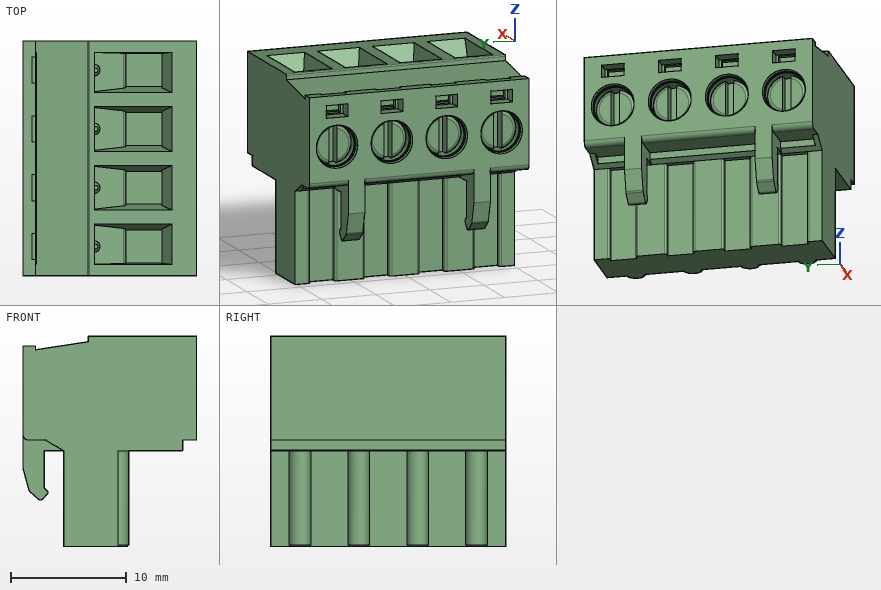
import cadquery as cq

LENGTH = 20.32
DEPTH = 15.0
HEIGHT = 18.2
POLE_COUNT = 4
PITCH = 5.08
POLES = [PITCH * (i - (POLE_COUNT - 1) / 2) for i in range(POLE_COUNT)]

LIP_DEPTH = 1.1
LIP_TOP = 17.35
ROOF_LOW = 17.03
ROOF_HIGH = 17.72
ROOF_END = 5.63
ROOF_EDGE_RADIUS = 0.1
OVERHANG_BOTTOM = 9.2
OVERHANG_RADIUS = 0.5
HOUSING_BOTTOM = 8.3
HAUNCH_START = 1.95
BACK_FOOT = 13.82
BACK_FOOT_CHAMFER = 0.08

PLUG_FRONT = 3.52
PLUG_BACK = 8.2
SOCKET_RADIUS = 0.93
SOCKET_CHAMFER = 0.16
GROOVE_WIDTH = 2.34
GROOVE_DEPTH = 0.55
GROOVE_EDGE_RADIUS = 0.18

HAUNCH_NOTCH_BACK = 2.99
HAUNCH_END_WIDTH = 0.49

HOOK_OFFSET = 5.81
HOOK_WIDTH = 1.52
HOOK_BACK = 1.85
HOOK_BEND_Z = 6.75
HOOK_HEEL = (0.53, 4.82)
HOOK_TIP = (1.52, 3.92)
HOOK_BARB = (2.24, 4.7)
HOOK_CATCH_Z = 5.08
HOOK_TIP_RADIUS = 0.25
HOOK_BARB_RADIUS = 0.15
HOOK_HEEL_RADIUS = 0.3

LIP_NOTCH_WIDTH = 2.25
LIP_NOTCH_DEPTH = 0.33
LIP_SLIT_WIDTH = 0.08
LIP_SLIT_DEPTH = 0.2
LIP_SLIT_HALF_LENGTH = 9.15

WINDOW_WIDTH = 2.01
WINDOW_BOTTOM = 15.4
WINDOW_HEIGHT = 1.12
WINDOW_DEPTH = 1.22
WINDOW_INNER_WIDTH = 1.55
WINDOW_INNER_DEPTH = 1.63
WINDOW_INNER_STEP = 0.1
WINDOW_BEVEL = 0.16

SCREW_Z = 12.8
SCREW_RADIUS = 1.77
SCREW_RECESS = 0.95
SCREW_EDGE_RADIUS = 0.33
SLOT_WIDTH = 0.75
SLOT_DEPTH = 1.02
HOLE_ENTRY_RADIUS = 1.83
HOLE_ENTRY_DEPTH = 0.49
HOLE_RIM_RADIUS = 1.9
HOLE_RIM_DEPTH = 0.25

FUNNEL_FRONT = 6.2
FUNNEL_BACK = 12.86
FUNNEL_HALF_WIDTH = 1.93
FUNNEL_END_LIMIT = 9.16
FUNNEL_DEPTH = 1.46
WELL_FRONT = 8.9
WELL_BACK = 12.03
WELL_HALF_WIDTH = 1.42
WELL_DEPTH = 1.87
RAMP_TOP_DROP = 0.3
RAMP_END = 8.82
RAMP_END_DROP = 1.42
RAMP_EDGE_RADIUS = 0.25
STUD_RADIUS = 0.49
STUD_TOP_RADIUS = 0.2
STUD_RISE = 0.25


def box(x0, x1, y0, y1, z0, z1):
    """Box between opposite corners."""
    return cq.Workplane("XY").box(x1 - x0, y1 - y0, z1 - z0, centered=False).translate((x0, y0, z0))


def extrude_along_y(outline, width, y_center=0.0):
    """Side outline given as (x, z) points, extruded symmetrically about y_center."""
    return cq.Workplane("XZ", origin=(0, y_center, 0)).polyline(outline).close().extrude(width / 2, both=True)


def cylinder_along_x(radius, x0, x1, y):
    """Cylinder on a screw axis."""
    return cq.Workplane("YZ", origin=(x0, y, SCREW_Z)).circle(radius).extrude(x1 - x0)


def housing():
    outline = [
        (0, OVERHANG_BOTTOM), (0, LIP_TOP), (LIP_DEPTH, LIP_TOP), (LIP_DEPTH, ROOF_LOW),
        (ROOF_END, ROOF_HIGH), (ROOF_END, HEIGHT), (DEPTH, HEIGHT), (DEPTH, OVERHANG_BOTTOM),
        (BACK_FOOT, OVERHANG_BOTTOM), (BACK_FOOT, HOUSING_BOTTOM), (PLUG_BACK, HOUSING_BOTTOM),
        (PLUG_BACK, 0), (PLUG_FRONT, 0), (PLUG_FRONT, HOUSING_BOTTOM), (HAUNCH_START, OVERHANG_BOTTOM),
    ]
    body = extrude_along_y(outline, LENGTH)
    body = body.edges(cq.selectors.NearestToPointSelector((0, 0, OVERHANG_BOTTOM))).fillet(OVERHANG_RADIUS)
    body = body.edges(cq.selectors.NearestToPointSelector((ROOF_END, 0, HEIGHT))).fillet(ROOF_EDGE_RADIUS)
    foot_edge = cq.selectors.NearestToPointSelector((BACK_FOOT, 0, HOUSING_BOTTOM))
    return body.edges(foot_edge).chamfer(BACK_FOOT_CHAMFER)


def haunch_notch():
    half = LENGTH / 2 - HAUNCH_END_WIDTH
    return box(0, HAUNCH_NOTCH_BACK, -half, half, HOUSING_BOTTOM, OVERHANG_BOTTOM)


def plug_groove(y):
    """Groove in the plug front whose mouth edges are rounded over."""
    inner = GROOVE_WIDTH / 2
    outer = inner + GROOVE_EDGE_RADIUS
    round_end = PLUG_FRONT + GROOVE_EDGE_RADIUS
    floor = PLUG_FRONT + GROOVE_DEPTH
    sketch = cq.Workplane("XY", origin=(0, y, 0)).moveTo(PLUG_FRONT, -outer)
    sketch = sketch.radiusArc((round_end, -inner), GROOVE_EDGE_RADIUS)
    sketch = sketch.lineTo(floor, -inner).lineTo(floor, inner).lineTo(round_end, inner)
    sketch = sketch.radiusArc((PLUG_FRONT, outer), GROOVE_EDGE_RADIUS)
    return sketch.close().extrude(HOUSING_BOTTOM)


def socket_rib(y):
    """Round rib on the back of the plug."""
    rib = cq.Workplane("XY", origin=(PLUG_BACK, y, 0)).circle(SOCKET_RADIUS).extrude(HOUSING_BOTTOM)
    return rib.faces("<Z").chamfer(SOCKET_CHAMFER)


def hook(y):
    """Latch hook with a web joining it to the plug."""
    root_z = OVERHANG_BOTTOM + OVERHANG_RADIUS
    outline = [
        (0, root_z), (0, HOOK_BEND_Z), HOOK_HEEL, HOOK_TIP, HOOK_BARB, (HOOK_BACK, HOOK_CATCH_Z),
        (HOOK_BACK, HOUSING_BOTTOM), (PLUG_FRONT, HOUSING_BOTTOM), (PLUG_FRONT, root_z),
    ]
    blank = extrude_along_y(outline, HOOK_WIDTH, y)

    heel = cq.selectors.NearestToPointSelector((HOOK_HEEL[0], y, HOOK_HEEL[1]))
    tip = cq.selectors.NearestToPointSelector((HOOK_TIP[0], y, HOOK_TIP[1]))
    barb = cq.selectors.NearestToPointSelector((HOOK_BARB[0], y, HOOK_BARB[1]))
    blank = blank.edges(heel).fillet(HOOK_HEEL_RADIUS).edges(tip).fillet(HOOK_TIP_RADIUS)
    return blank.edges(barb).fillet(HOOK_BARB_RADIUS)


def lip_notch(y):
    half = LIP_NOTCH_WIDTH / 2
    return box(LIP_DEPTH - LIP_NOTCH_DEPTH, LIP_DEPTH, y - half, y + half, ROOF_LOW, LIP_TOP)


def lip_slit():
    """Narrow slit in the roof along the back of the lip."""
    return box(LIP_DEPTH, LIP_DEPTH + LIP_SLIT_WIDTH, -LIP_SLIT_HALF_LENGTH, LIP_SLIT_HALF_LENGTH,
               ROOF_LOW - LIP_SLIT_DEPTH, LIP_TOP)


def test_window(y):
    """Stepped window whose end wall is bevelled along the bottom."""
    half = WINDOW_WIDTH / 2
    top = WINDOW_BOTTOM + WINDOW_HEIGHT
    mouth = box(0, WINDOW_DEPTH, y - half, y + half, WINDOW_BOTTOM, top)
    inner_top = top - WINDOW_INNER_STEP
    inner_bottom = WINDOW_BOTTOM + WINDOW_INNER_STEP
    inner_outline = [
        (0, inner_bottom), (WINDOW_INNER_DEPTH + WINDOW_BEVEL, inner_bottom),
        (WINDOW_INNER_DEPTH, inner_bottom + WINDOW_BEVEL), (WINDOW_INNER_DEPTH, inner_top), (0, inner_top),
    ]
    return mouth.union(extrude_along_y(inner_outline, WINDOW_INNER_WIDTH, y))


def screw_recess(y):
    """Stepped, chamfered hole with the slotted, rounded screw head left standing at its floor."""
    floor = SCREW_RECESS + SLOT_DEPTH
    hole = cylinder_along_x(SCREW_RADIUS, 0, floor, y)
    entry = cylinder_along_x(HOLE_ENTRY_RADIUS, 0, HOLE_ENTRY_DEPTH, y)
    axis_point = cq.Vector(0, y, SCREW_Z)
    inward = cq.Vector(1, 0, 0)
    rim = cq.Solid.makeCone(HOLE_RIM_RADIUS, HOLE_ENTRY_RADIUS, HOLE_RIM_DEPTH, axis_point, inward)
    head = cylinder_along_x(SCREW_RADIUS, SCREW_RECESS, floor, y)
    head = head.faces("<X").edges().fillet(SCREW_EDGE_RADIUS)
    half = SLOT_WIDTH / 2
    slot = box(SCREW_RECESS, floor, y - half, y + half, SCREW_Z - SCREW_RADIUS, SCREW_Z + SCREW_RADIUS)
    return hole.union(entry).union(cq.Workplane(rim)).cut(head.cut(slot))


def wire_funnel(y):
    """Tapered wire entry with a ramp and stud at the front and a deeper well at the back."""
    mouth_y0 = max(y - FUNNEL_HALF_WIDTH, -FUNNEL_END_LIMIT)
    mouth_y1 = min(y + FUNNEL_HALF_WIDTH, FUNNEL_END_LIMIT)
    floor_z = HEIGHT - WELL_DEPTH
    throat_z = HEIGHT - FUNNEL_DEPTH
    ramp_top_z = HEIGHT - RAMP_TOP_DROP
    ramp_end_z = HEIGHT - RAMP_END_DROP

    length = FUNNEL_BACK - FUNNEL_FRONT
    walls = (
        cq.Workplane("XY", origin=(FUNNEL_FRONT + length / 2, y, floor_z))
        .rect(length, 2 * WELL_HALF_WIDTH)
        .workplane(offset=WELL_DEPTH)
        .center(0, (mouth_y0 + mouth_y1) / 2 - y)
        .rect(length, mouth_y1 - mouth_y0)
        .loft(ruled=True)
    )
    profile = extrude_along_y(
        [(FUNNEL_FRONT, HEIGHT), (FUNNEL_FRONT, ramp_top_z), (RAMP_END, ramp_end_z), (WELL_FRONT, floor_z),
         (WELL_BACK, floor_z), (WELL_BACK, throat_z), (FUNNEL_BACK, HEIGHT)],
        PITCH, y,
    )
    ramp_edge = cq.selectors.NearestToPointSelector((RAMP_END, y, ramp_end_z))
    profile = profile.edges(ramp_edge).fillet(RAMP_EDGE_RADIUS)

    ramp_normal = (RAMP_END_DROP - RAMP_TOP_DROP, 0, RAMP_END - FUNNEL_FRONT)
    stud_base = cq.Plane(origin=(FUNNEL_FRONT, y, ramp_top_z), xDir=(0, 1, 0), normal=ramp_normal)
    stud = (
        cq.Workplane(stud_base).circle(STUD_RADIUS)
        .workplane(offset=STUD_RISE).circle(STUD_TOP_RADIUS).loft()
    )
    return walls.intersect(profile).cut(stud)


result = housing().cut(haunch_notch()).cut(lip_slit())
for pole_y in POLES:
    result = result.union(socket_rib(pole_y))
    for pocket in (plug_groove, lip_notch, test_window, screw_recess, wire_funnel):
        result = result.cut(pocket(pole_y))
for hook_y in (-HOOK_OFFSET, HOOK_OFFSET):
    result = result.union(hook(hook_y))